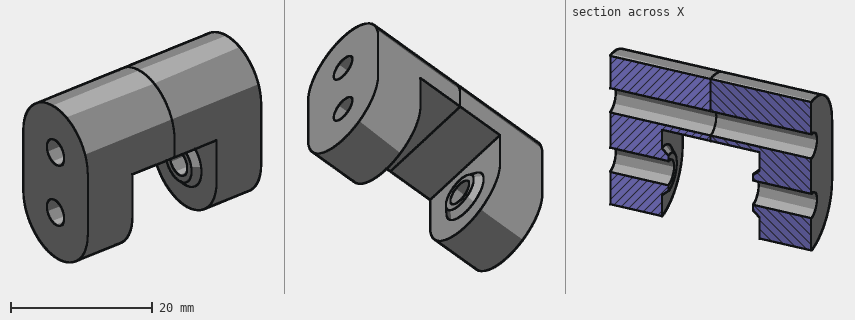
import cadquery as cq

width = 15.0
hole_spacing = 10.0
body_length = 15.5
plate_thickness = 8.0
barrel_height = 10.5
hole_diameter = 4.0
boss_height = 1.0
boss_base_diameter = 8.0
boss_tip_diameter = 6.0

end_radius = width / 2
upper_z = hole_spacing / 2
lower_z = -hole_spacing / 2
crown_z = upper_z + end_radius
underside_z = crown_z - barrel_height
overall_height = hole_spacing + width
plate_inner_y = body_length - plate_thickness


def plane_facing_y(y):
    """Plane at the given Y whose normal points along +Y and whose local y is Z."""
    return cq.Plane(origin=(0, y, 0), xDir=(-1, 0, 0), normal=(0, 1, 0))


def make_rounded_block():
    """Full-length block with a round-ended profile, from the parting plane outward."""
    return (
        cq.Workplane(plane_facing_y(0))
        .slot2D(overall_height, width, 90)
        .extrude(body_length)
    )


def make_gap():
    """Space below the upper block, spanning between the two hanging plates."""
    gap_height = underside_z + overall_height / 2
    return (
        cq.Workplane("XY", origin=(0, 0, underside_z))
        .rect(width, 2 * plate_inner_y)
        .extrude(-gap_height)
    )


def make_boss():
    """Conical boss around the lower hole on the inner face of the plate."""
    return (
        cq.Workplane(plane_facing_y(plate_inner_y - boss_height))
        .center(0, lower_z)
        .circle(boss_tip_diameter / 2)
        .workplane(offset=boss_height)
        .circle(boss_base_diameter / 2)
        .loft(ruled=True)
    )


def make_holes():
    """Upper and lower holes along Y, each running through the whole half."""
    return (
        cq.Workplane(plane_facing_y(0))
        .pushPoints([(0, upper_z), (0, lower_z)])
        .circle(hole_diameter / 2)
        .extrude(body_length)
    )


def make_half():
    """Half of the hinge that lies on the +Y side of the parting plane."""
    return make_rounded_block().cut(make_gap()).union(make_boss()).cut(make_holes())


back_half = make_half()
front_half = back_half.mirror("XZ")

result = cq.Compound.makeCompound([back_half.val(), front_half.val()])